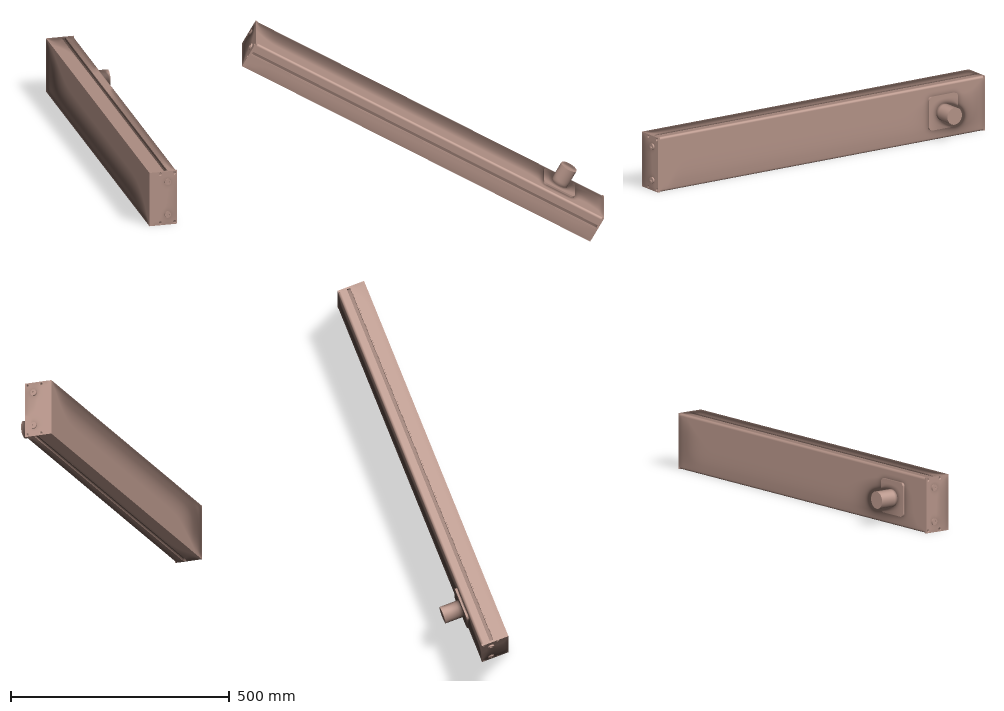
import cadquery as cq

TOTAL_LENGTH = 916.0
TOTAL_DEPTH = 115.0
CASE_HEIGHT = 130.0
CASE_DEPTH = 65.0

PANEL_DEPTH = 20.0

HEAD_HEIGHT = 4.0
HEAD_DIAMETER = 15.0
HEAD_SPACING = 80.0
HEAD_Y = 43.0
SOCKET_DIAMETER = 6.0
SOCKET_DEPTH = 2.0

CAP_THICKNESS = 5.0
CAP_HOLE_DIAMETER = 5.0
CAP_HOLE_RIM_DIAMETER = 7.0
CAP_HOLE_INSET = 5.5
COUNTERSINK_ANGLE = 90

BACK_EDGE_RADIUS = 5.5
GROOVE_BACK_Y = 44.0
GROOVE_WIDTH = 8.0
GROOVE_DEPTH = 6.0
LEDGE_WIDTH = 2.0
LEDGE_DEPTH = 1.0

GLAND_X = -335.0
FLANGE_SIDE = 80.0
FLANGE_THICKNESS = 5.5
FLANGE_CORNER_RADIUS = 8.0
STEM_DIAMETER = 40.0

CASE_LENGTH = TOTAL_LENGTH - 2 * HEAD_HEIGHT
HOUSING_LENGTH = CASE_LENGTH - 2 * CAP_THICKNESS
HOUSING_DEPTH = CASE_DEPTH - PANEL_DEPTH
CAP_CENTER_Y = PANEL_DEPTH + HOUSING_DEPTH / 2
STEM_LENGTH = TOTAL_DEPTH - CASE_DEPTH - FLANGE_THICKNESS


def make_panel():
    """Plain slab covering the whole front of the case."""
    return cq.Workplane("XY").box(CASE_LENGTH, PANEL_DEPTH, CASE_HEIGHT, centered=(True, False, True))


def cut_groove(housing, side):
    """Stepped groove along the top (side = 1) or bottom (side = -1) of the housing."""
    groove_front_y = GROOVE_BACK_Y - GROOVE_WIDTH
    ledge_front_y = groove_front_y - LEDGE_WIDTH
    outer_z = CASE_HEIGHT / 2
    profile = [
        (GROOVE_BACK_Y, side * outer_z),
        (GROOVE_BACK_Y, side * (outer_z - GROOVE_DEPTH)),
        (groove_front_y, side * (outer_z - GROOVE_DEPTH)),
        (groove_front_y, side * (outer_z - LEDGE_DEPTH)),
        (ledge_front_y, side * (outer_z - LEDGE_DEPTH)),
        (ledge_front_y, side * outer_z),
    ]
    groove = cq.Workplane("YZ").polyline(profile).close().extrude(HOUSING_LENGTH / 2, both=True)
    return housing.cut(groove)


def make_housing():
    """Long profile between the end caps, with rounded back edges."""
    housing = (
        cq.Workplane("XY")
        .box(HOUSING_LENGTH, HOUSING_DEPTH, CASE_HEIGHT, centered=(True, False, True))
        .translate((0, PANEL_DEPTH, 0))
        .edges("|X and >Y")
        .fillet(BACK_EDGE_RADIUS)
    )
    for side in (1, -1):
        housing = cut_groove(housing, side)
    return housing


def head_disks(base_x, diameter, height):
    """Two disks at the screw positions, starting at base_x and growing along X by height."""
    centers = [(HEAD_Y, side * HEAD_SPACING / 2) for side in (1, -1)]
    return (
        cq.Workplane("YZ", origin=(base_x, 0, 0))
        .pushPoints(centers)
        .circle(diameter / 2)
        .extrude(height)
    )


def make_end_cap(side):
    """Plate with countersunk corner holes and two socket heads on the +X (1) or -X (-1) end."""
    hole_spacing_y = HOUSING_DEPTH - 2 * CAP_HOLE_INSET
    hole_spacing_z = CASE_HEIGHT - 2 * CAP_HOLE_INSET
    plate = (
        cq.Workplane("YZ", origin=(HOUSING_LENGTH / 2, CAP_CENTER_Y, 0))
        .rect(HOUSING_DEPTH, CASE_HEIGHT)
        .extrude(CAP_THICKNESS)
        .faces(">X")
        .workplane()
        .rect(hole_spacing_y, hole_spacing_z, forConstruction=True)
        .vertices()
        .cskHole(CAP_HOLE_DIAMETER, CAP_HOLE_RIM_DIAMETER, COUNTERSINK_ANGLE)
    )
    heads = head_disks(CASE_LENGTH / 2, HEAD_DIAMETER, HEAD_HEIGHT)
    sockets = head_disks(TOTAL_LENGTH / 2, SOCKET_DIAMETER, -SOCKET_DEPTH)
    cap = plate.union(heads).cut(sockets)
    return cap if side > 0 else cap.mirror("YZ")


def make_gland():
    """Square flange with rounded corners against the housing's back, carrying a round stem."""
    flange = (
        cq.Workplane("XZ", origin=(GLAND_X, CASE_DEPTH, 0))
        .rect(FLANGE_SIDE, FLANGE_SIDE)
        .extrude(-FLANGE_THICKNESS)
        .edges("|Y")
        .fillet(FLANGE_CORNER_RADIUS)
    )
    stem = (
        cq.Workplane("XZ", origin=(GLAND_X, CASE_DEPTH + FLANGE_THICKNESS, 0))
        .circle(STEM_DIAMETER / 2)
        .extrude(-STEM_LENGTH)
    )
    return flange.union(stem)


panel = make_panel()
housing = make_housing()
end_caps = [make_end_cap(side) for side in (1, -1)]
gland = make_gland()

result = cq.Compound.makeCompound(
    [panel.val(), housing.val(), *[cap.val() for cap in end_caps], gland.val()]
)